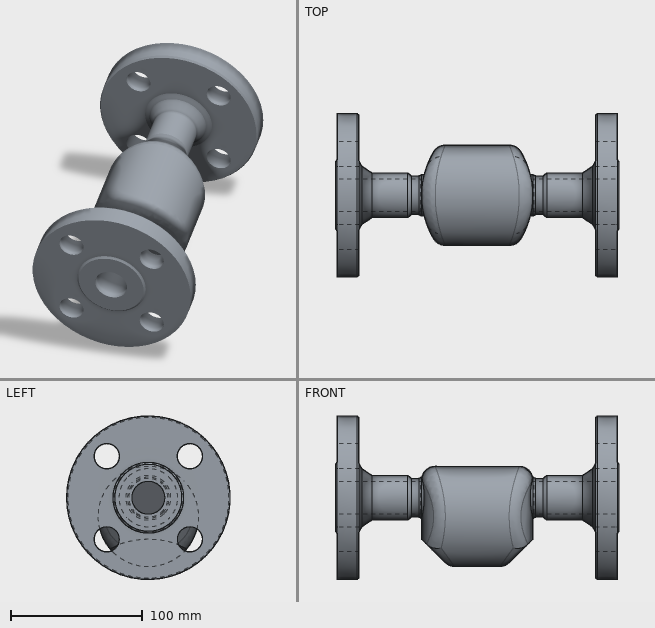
import cadquery as cq
import math

length = 215.0
half_length = length / 2

flange_diameter = 124.0
raised_face_diameter = 50.7
raised_face_base_diameter = 53.8
raised_face_height = 1.3
flange_thickness = 16.5
flange_bevel_length = 1.5
flange_bevel_depth = 1.0
bolt_hole_diameter = 19.0
bolt_circle_diameter = 89.0
bolt_count = 4

hub_base_radius = 26.2
hub_flare_radius = 22.1
hub_flare_length = 2.2
hub_length = 9.9
pipe_diameter = 34.0
pipe_length = 27.0
neck_diameter = 29.5
neck_bevel_length = 2.8
neck_flare_length = 2.2
neck_flare_radius = 15.7
neck_root_depth = 11.8
bore_diameter = 25.0
bore_depth = 64.5

body_diameter = 76.1
body_radius = body_diameter / 2
body_length = 84.3
body_drop = 14.2
body_end_radius = 64.5
body_edge_fillet = 10.3
bottom_bevel = 20.9

flange_face = -half_length + raised_face_height
flange_back = flange_face + flange_thickness
pipe_start = flange_back + hub_length
pipe_end = pipe_start + pipe_length
neck_start = pipe_end + neck_bevel_length
body_end = -body_length / 2
neck_end = body_end - neck_flare_length
neck_root = body_end + neck_root_depth


def make_connection():
    """Left flange, hub, pipe and neck, with bolt holes and a blind bore."""
    flange_radius = flange_diameter / 2
    pipe_radius = pipe_diameter / 2
    neck_radius = neck_diameter / 2
    connection = (
        cq.Workplane("XY")
        .moveTo(-half_length, 0)
        .lineTo(-half_length, raised_face_diameter / 2)
        .lineTo(flange_face, raised_face_base_diameter / 2)
        .lineTo(flange_face, flange_radius)
        .lineTo(flange_back - flange_bevel_length, flange_radius)
        .lineTo(flange_back, flange_radius - flange_bevel_depth)
        .lineTo(flange_back, hub_base_radius)
        .lineTo(flange_back + hub_flare_length, hub_flare_radius)
        .lineTo(pipe_start, pipe_radius)
        .lineTo(pipe_end, pipe_radius)
        .lineTo(neck_start, neck_radius)
        .lineTo(neck_end, neck_radius)
        .lineTo(body_end, neck_flare_radius)
        .lineTo(neck_root, neck_flare_radius)
        .lineTo(neck_root, 0)
        .close()
        .revolve(360, (0, 0, 0), (1, 0, 0))
    )
    bolt_holes = (
        cq.Workplane("YZ", origin=(-half_length, 0, 0))
        .polarArray(bolt_circle_diameter / 2, 360 / bolt_count / 2, 360, bolt_count)
        .circle(bolt_hole_diameter / 2)
        .extrude(raised_face_height + flange_thickness)
    )
    bore = (
        cq.Workplane("YZ", origin=(-half_length, 0, 0))
        .circle(bore_diameter / 2)
        .extrude(bore_depth)
    )
    return connection.cut(bolt_holes).cut(bore)


def make_body():
    """Dropped cylinder with bowed ends, rounded rims and bevelled bottom."""
    barrel = (
        cq.Workplane("YZ", origin=(body_end, 0, -body_drop))
        .circle(body_radius)
        .extrude(body_length)
    )
    end_sag = body_end_radius - math.sqrt(body_end_radius**2 - body_radius**2)
    corner = body_length / 2 - end_sag
    bowed_plan = (
        cq.Workplane("XY", origin=(0, 0, -body_drop - body_radius))
        .moveTo(-corner, -body_radius)
        .lineTo(corner, -body_radius)
        .threePointArc((body_length / 2, 0), (corner, body_radius))
        .lineTo(-corner, body_radius)
        .threePointArc((-body_length / 2, 0), (-corner, -body_radius))
        .close()
        .extrude(body_diameter)
    )
    bottom = -body_drop - body_radius
    bevel_wedge = (
        cq.Workplane("XZ")
        .moveTo(body_end, bottom)
        .lineTo(body_end + bottom_bevel, bottom)
        .lineTo(body_end, bottom + bottom_bevel)
        .close()
        .extrude(body_radius, both=True)
    )
    end_shape = bowed_plan.cut(bevel_wedge).cut(bevel_wedge.mirror("YZ"))
    body = barrel.intersect(end_shape)
    round_wall = body.faces(cq.NearestToPointSelector((0, 0, -body_drop)))
    rims = round_wall.edges("not |X")
    return rims.fillet(body_edge_fillet)


connection = make_connection()
result = make_body().union(connection).union(connection.mirror("YZ"))